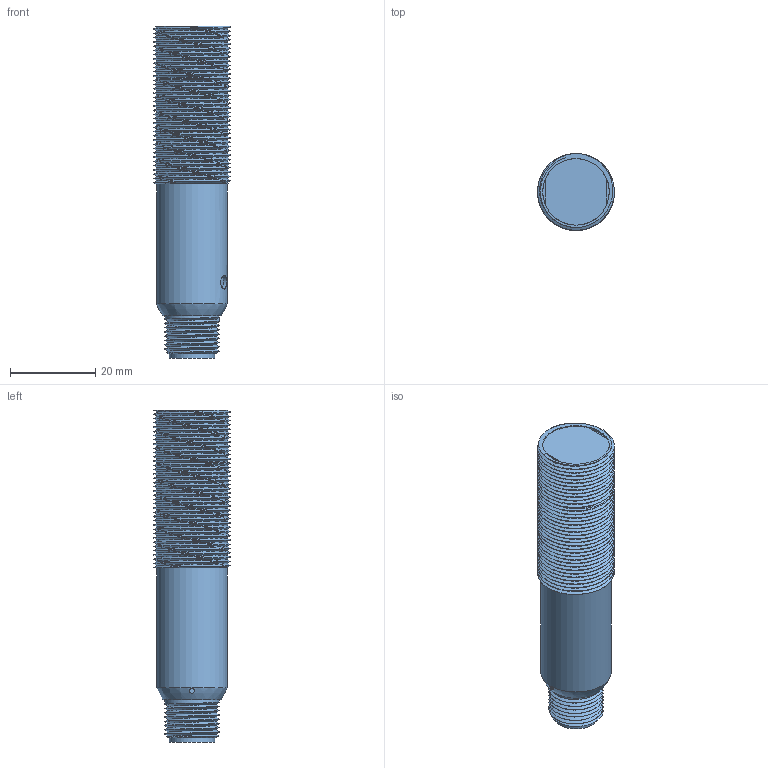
import cadquery as cq
import math

total_height = 77.83
thread_bottom = 40.8
shoulder_top = 12.75
shoulder_bottom = 9.95
tip_height = 1.05
tip_chamfer_height = 0.4

thread_radius = 9.0
barrel_radius = 8.3
shoulder_mid_radius = 7.72
shoulder_end_radius = 6.8
plug_radius = 6.35
plug_root_radius = 5.65
tip_radius = 5.3

pitch = 1.0
groove_fill = 0.96
overcut = 0.02
thread_root_radius = 8.35
thread_root_width = 0.25
plug_root_width = 0.06
thread_sections = 3
spare_turns = 1
thread_groove_exit = 0.27
plug_groove_top = 9.1

window_radius = 7.8
window_half_width = 7.15
window_recess = 0.2
segment_recess = 0.45

adjuster_diameter = 3.3
adjuster_height = 17.8
adjuster_angle = -25.0
adjuster_depth = 1.0

indicator_diameter = 1.15
indicator_height = 12.0
indicator_floor = 7.5


def make_body():
    """Turned outline of the barrel, shoulder and plug."""
    shoulder_middle = (shoulder_top + shoulder_bottom) / 2
    return (
        cq.Workplane("XZ")
        .moveTo(0, 0)
        .lineTo(tip_radius, 0)
        .lineTo(tip_radius, tip_height)
        .lineTo(plug_root_radius, tip_height)
        .lineTo(plug_radius, tip_height + tip_chamfer_height)
        .lineTo(plug_radius, shoulder_bottom)
        .lineTo(shoulder_end_radius, shoulder_bottom)
        .threePointArc((shoulder_mid_radius, shoulder_middle), (barrel_radius, shoulder_top))
        .lineTo(barrel_radius, thread_bottom)
        .lineTo(0, thread_bottom)
        .close()
        .revolve(360, (0, 0, 0), (0, 1, 0))
    )


def make_groove(crest_radius, root_radius, root_width, start_height, turns):
    """Helical V-groove tool starting on the +X side and rising from start_height."""
    half_mouth = groove_fill * pitch / 2
    half_root = root_width / 2
    flank_slope = (half_mouth - half_root) / (crest_radius - root_radius)
    half_outer = half_mouth + overcut * flank_slope
    outer_radius = crest_radius + overcut
    path = cq.Wire.makeHelix(pitch, turns * pitch, root_radius)
    return (
        cq.Workplane("XZ")
        .moveTo(root_radius, -half_root)
        .lineTo(outer_radius, -half_outer)
        .lineTo(outer_radius, half_outer)
        .lineTo(root_radius, half_root)
        .close()
        .sweep(cq.Workplane(path), isFrenet=True)
        .translate((0, 0, start_height))
    )


def cut_plug_thread(body):
    """Cut the plug groove from its closed upper end down through the tip chamfer."""
    turns = math.floor(plug_groove_top / pitch)
    start_height = plug_groove_top - turns * pitch
    return body.cut(make_groove(plug_radius, plug_root_radius, plug_root_width, start_height, turns))


def make_thread_section(bottom, height):
    """Length of the large thread, trimmed from a longer rod so the groove runs out at both ends."""
    groove_exit_height = total_height + thread_groove_exit
    turns_below_exit = math.ceil((groove_exit_height - bottom) / pitch) + spare_turns
    groove_start = groove_exit_height - turns_below_exit * pitch
    groove_turns = math.ceil(height / pitch) + 3 * spare_turns
    groove = make_groove(
        thread_radius, thread_root_radius, thread_root_width, groove_start, groove_turns
    )
    rod_bottom = groove_start - spare_turns * pitch
    rod_height = (groove_turns + 2 * spare_turns) * pitch
    rod = cq.Workplane("XY").workplane(offset=rod_bottom).circle(thread_radius).extrude(rod_height)
    trim_width = 3 * thread_radius
    trim = cq.Workplane("XY").workplane(offset=bottom).rect(trim_width, trim_width).extrude(height)
    return rod.cut(groove).intersect(trim)


def add_large_thread(body):
    """Stack the lengths of large thread on top of the barrel."""
    section_height = (total_height - thread_bottom) / thread_sections
    for index in range(thread_sections):
        bottom = thread_bottom + index * section_height
        body = body.union(make_thread_section(bottom, section_height))
    return body


def cut_front_window(body):
    """Recess the round window, then the two segments beside its flats a little deeper."""
    window = cq.Workplane("XY").workplane(offset=total_height - window_recess)
    window = window.circle(window_radius).extrude(window_recess)
    floor_plane = cq.Workplane("XY").workplane(offset=total_height - segment_recess)
    disc = floor_plane.circle(window_radius).extrude(segment_recess)
    strip = floor_plane.rect(2 * window_half_width, 2 * window_radius).extrude(segment_recess)
    return body.cut(window).cut(disc.cut(strip))


def cut_adjuster_hole(body):
    """Blind round hole in the barrel wall, turned to the adjuster angle."""
    hole = (
        cq.Workplane("YZ")
        .workplane(offset=barrel_radius - adjuster_depth)
        .center(0, adjuster_height)
        .circle(adjuster_diameter / 2)
        .extrude(2 * adjuster_depth)
        .rotate((0, 0, 0), (0, 0, 1), adjuster_angle)
    )
    return body.cut(hole)


def cut_indicator_hole(body):
    """Small flat-bottomed hole in the shoulder."""
    hole = (
        cq.Workplane("YZ")
        .workplane(offset=-barrel_radius)
        .center(0, indicator_height)
        .circle(indicator_diameter / 2)
        .extrude(barrel_radius - indicator_floor)
    )
    return body.cut(hole)


result = make_body()
result = cut_plug_thread(result)
result = cut_adjuster_hole(result)
result = cut_indicator_hole(result)
result = add_large_thread(result)
result = cut_front_window(result)
result = cq.Workplane(result.solids().val())